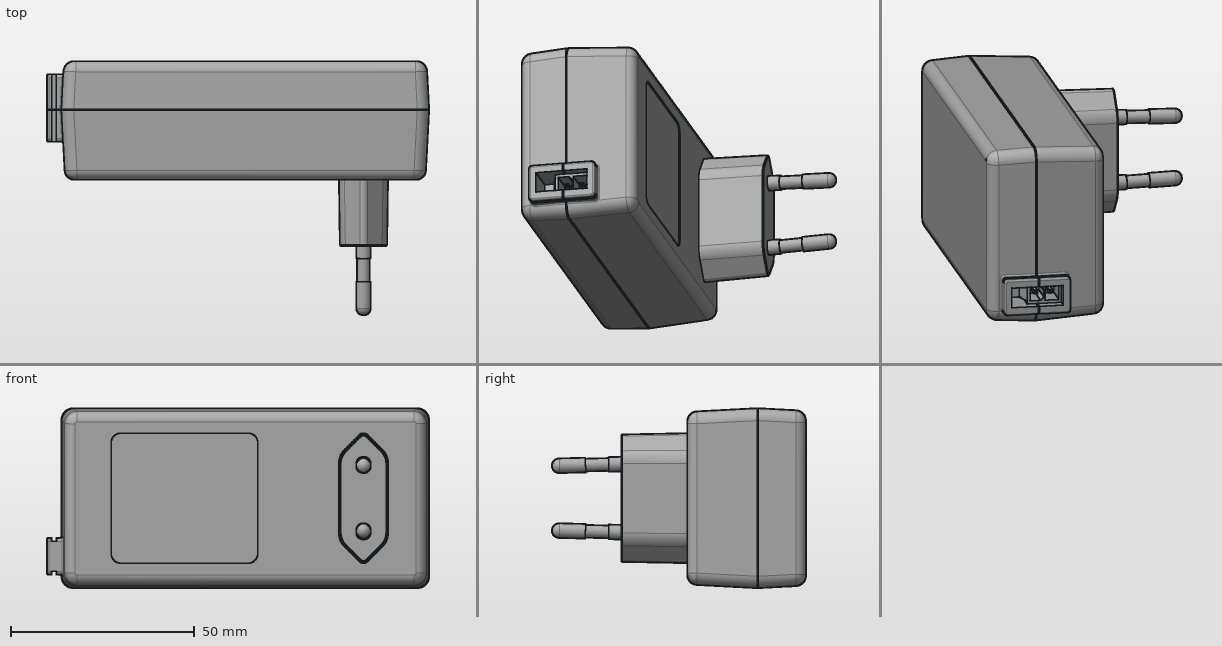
import cadquery as cq


case_length = 100.0
case_height = 49.0
front_depth = 19.1
back_depth = 13.2
draft_angle = 3
corner_radius = 3.3
front_edge_radius = 2.8
back_edge_radius = 3.0
case_left = -case_length / 2

groove_width = 0.3
groove_depth = 0.2

label_length = 39.8
label_height = 35.4
label_corner_radius = 2.6
label_depth = 0.3
label_centre_from_left = 33.5
label_x = case_left + label_centre_from_left

plug_centre_from_left = 82.1
plug_x = case_left + plug_centre_from_left
plug_length = 18.0
plug_width = 13.4
plug_height = 36.6
plug_taper = 0.8
plug_tip_radius = 1.5
plug_shoulder_radius = 5.0
plug_face_chamfer = 0.3
tip_margin = 0.1
plug_face_y = -front_depth - plug_length

pin_spacing = 18.5
pin_lean = 1.5
pin_reach = 18.8
pin_radius = 2.03
pin_neck_radius = 1.8
pin_collar_length = 3.3
pin_neck_end = 9.7
pin_root = 3.1

overall_length = 104
outlet_reach = overall_length - case_length
outlet_width = 18.4
outlet_height = 10.1
outlet_y = 0.4
outlet_z = -15.8
outlet_corner_radius = 0.9
outlet_front_radius = 0.5
outlet_root_radius = 0.4
outlet_root = 6.2
outlet_seam_band = 1.0
outlet_seam_margin = 0.05
outlet_face_x = case_left - outlet_reach

slot_start = 1.4
slot_width = 1.2
slot_depth = 0.9

socket_width = 14.2
socket_height = 5.5
socket_depth = 10.4
contact_step_width = 9.5
contact_step_recess = 2.9
first_contact_inset = 2.6
contact_count = 2
contact_pitch = 4.2
contact_hole_size = 3.8
contact_hole_chamfer = 0.9
contact_pin_size = 0.9
contact_pin_chamfer = 0.26
contact_pin_recess = contact_step_recess + 1.5
latch_height = 3.8
latch_rise = 1.4
latch_length = 4.2
socket_y = 0.4
socket_right_y = socket_y - socket_width / 2
contact_step_y = socket_right_y + contact_step_width
first_contact_y = socket_right_y + first_contact_inset


def case_half(outline, depth, outer_face, edge_radius):
    """One drafted half grown from the parting plane, with rounded corners and outer edges."""
    half = outline.extrude(depth, taper=draft_angle)
    half = half.edges("not(|X or |Z)").fillet(corner_radius)
    return half.faces(outer_face).edges().fillet(edge_radius)


def case():
    """Both halves joined at the parting plane."""
    front_outline = cq.Workplane("XZ").rect(case_length, case_height)
    back_outline = cq.Workplane("ZX").rect(case_height, case_length)
    front_half = case_half(front_outline, front_depth, "<Y", front_edge_radius)
    back_half = case_half(back_outline, back_depth, ">Y", back_edge_radius)
    return front_half.union(back_half)


def outlet_box(x_start, x_length, width, height):
    """Plain box on the outlet axis, with x_start measured inwards from the outlet face."""
    box = cq.Workplane("XY").box(x_length, width, height, centered=(False, True, True))
    return box.translate((outlet_face_x + x_start, outlet_y, outlet_z))


def add_outlet_block(part):
    """Rounded block on the left end, blended into the case wall."""
    block = outlet_box(0, outlet_reach + outlet_root, outlet_width, outlet_height)
    block = block.edges("|X").fillet(outlet_corner_radius)
    block = block.faces("<X").edges().fillet(outlet_front_radius)
    half_size = (
        outlet_seam_band,
        outlet_width / 2 + outlet_seam_margin,
        outlet_height / 2 + outlet_seam_margin,
    )
    centre = (case_left, outlet_y, outlet_z)
    seam = cq.selectors.BoxSelector(
        tuple(middle - half for middle, half in zip(centre, half_size)),
        tuple(middle + half for middle, half in zip(centre, half_size)),
    )
    return part.union(block).edges(seam).fillet(outlet_root_radius)


def outlet_slots():
    """Cutter for the slots across the top and bottom of the outlet block."""
    band = outlet_box(slot_start, slot_width, 2 * outlet_width, 2 * outlet_height)
    web = outlet_box(slot_start, slot_width, 2 * outlet_width, outlet_height - 2 * slot_depth)
    return band.cut(web)


def parting_groove():
    """Cutter for the groove that runs round the case, the outlet block and the mouth of the socket."""
    inset = 2 * groove_depth
    slab = cq.Workplane("XY").box(3 * case_length, groove_width, 2 * case_height)
    case_core = (
        cq.Workplane("XY")
        .box(case_length - inset, groove_width, case_height - inset)
        .edges("|Y")
        .fillet(corner_radius - groove_depth)
    )
    block_length = outlet_reach + outlet_root
    block_core = outlet_box(groove_depth, block_length, outlet_width, outlet_height - inset)
    slot_place = (slot_start - groove_depth, slot_width + inset, 2 * outlet_width)
    slot_clearance = outlet_box(*slot_place, 2 * outlet_height)
    slot_core = outlet_box(*slot_place, outlet_height - 2 * slot_depth - inset)
    socket_clearance = outlet_box(0, contact_step_recess, outlet_width, socket_height + inset)
    block_core = block_core.cut(slot_clearance).union(slot_core).cut(socket_clearance)
    return slab.cut(case_core).cut(block_core)


def label_recess():
    """Cutter for the rounded label area on the front face."""
    return (
        cq.Workplane("XZ", origin=(label_x, -front_depth, 0))
        .rect(label_length, label_height)
        .extrude(-label_depth)
        .edges("|Y")
        .fillet(label_corner_radius)
    )


def plug_body():
    """Tapered hexagonal plug with rounded tips and shoulders."""
    half_width = plug_width / 2
    half_height = plug_height / 2
    shoulder = half_height - half_width
    outline = [
        (0, half_height),
        (half_width, shoulder),
        (half_width, -shoulder),
        (0, -half_height),
        (-half_width, -shoulder),
        (-half_width, shoulder),
    ]
    plug = (
        cq.Workplane("XZ", origin=(plug_x, -front_depth, 0))
        .polyline(outline)
        .close()
        .extrude(plug_length, taper=plug_taper)
    )
    tip_edges = cq.selectors.BoxSelector(
        (plug_x - tip_margin, plug_face_y + tip_margin, -half_height),
        (plug_x + tip_margin, -front_depth - tip_margin, half_height),
    )
    flanks = plug.faces("<X or >X").edges("not(#Y)")
    plug = flanks.fillet(plug_shoulder_radius)
    plug = plug.edges(tip_edges).fillet(plug_tip_radius)
    return plug.faces("<Y").edges().chamfer(plug_face_chamfer)


def contact_pin(side):
    """Stepped round pin with a domed end; side is +1 for the upper pin and -1 for the lower."""
    dome_start = pin_reach - pin_radius
    profile = (
        cq.Workplane("XY")
        .moveTo(0, pin_root)
        .lineTo(pin_radius, pin_root)
        .lineTo(pin_radius, -pin_collar_length)
        .lineTo(pin_neck_radius, -pin_collar_length)
        .lineTo(pin_neck_radius, -pin_neck_end)
        .lineTo(pin_radius, -pin_neck_end)
        .lineTo(pin_radius, -dome_start)
        .radiusArc((0, -pin_reach), pin_radius)
        .close()
    )
    pin = profile.revolve(360, (0, 0, 0), (0, 1, 0))
    pin = pin.rotate((0, 0, 0), (1, 0, 0), side * pin_lean)
    return pin.translate((plug_x, plug_face_y, side * pin_spacing / 2))


def socket_box(recess, y_right, width, height):
    """Box from the given recess behind the outlet face to the socket floor."""
    box = cq.Workplane("XY").box(socket_depth - recess, width, height, centered=(False, False, True))
    return box.translate((outlet_face_x + recess, y_right, outlet_z))


def latch():
    """Wedge on the side of the contact step, rising towards the socket floor."""
    start_x = outlet_face_x + contact_step_recess
    return (
        cq.Workplane("XY", origin=(0, 0, outlet_z - latch_height / 2))
        .moveTo(start_x, contact_step_y)
        .lineTo(start_x + latch_length, contact_step_y + latch_rise)
        .lineTo(start_x + latch_length, contact_step_y)
        .close()
        .extrude(latch_height)
    )


def socket():
    """Cutter for the socket; the contact step, latch and contact pins stay standing in it."""
    cavity = socket_box(0, socket_right_y, socket_width, socket_height)
    cavity = cavity.cut(socket_box(contact_step_recess, socket_right_y, contact_step_width, socket_height))
    cavity = cavity.cut(latch())
    for contact in range(contact_count):
        contact_y = first_contact_y + contact * contact_pitch
        hole_right_y = contact_y - contact_hole_size / 2
        hole = socket_box(contact_step_recess, hole_right_y, contact_hole_size, contact_hole_size)
        if contact == contact_count - 1:
            hole = hole.faces("<Y").edges("|X").chamfer(contact_hole_chamfer)
        pin_right_y = contact_y - contact_pin_size / 2
        pin = socket_box(contact_pin_recess, pin_right_y, contact_pin_size, contact_pin_size)
        pin = pin.faces("<X").edges().chamfer(contact_pin_chamfer)
        cavity = cavity.union(hole.cut(pin))
    return cavity


result = add_outlet_block(case())
for cutter in (outlet_slots(), parting_groove(), label_recess(), socket()):
    result = result.cut(cutter)
for added in (plug_body(), contact_pin(1), contact_pin(-1)):
    result = result.union(added)